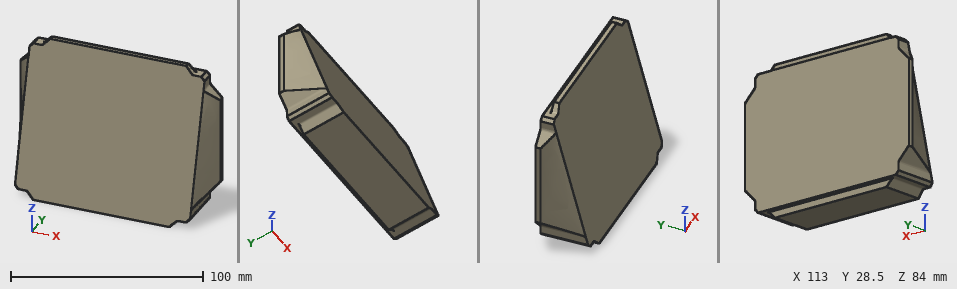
import cadquery as cq
import math

overall_length = 113.0
body_length = 99.0
overall_height = 84.0
body_height = 76.0
top_thickness = 6.0
slope_angle = 15.0
back_step = 3.0
corner_chamfer = 2.0
tab_length = 77.0
tab_root_radius = 1.5
wing_outer_height = 48.0
wing_root_radius = 2.0

slope = math.tan(math.radians(slope_angle))
bottom_thickness = top_thickness + overall_height * slope
half_height = overall_height / 2
half_body = body_length / 2
wing_reach = (overall_length - body_length) / 2
wing_root_height = wing_outer_height + 2 * wing_reach
tab_rise = (overall_height - body_height) / 2
tab_root_length = tab_length + 2 * tab_rise


def front_y(z):
    """Y of the sloping front face at height z."""
    return -(top_thickness + (half_height - z) * slope)


def wedge_envelope():
    """Full-length wedge between the back plane and the sloping front face."""
    profile = [
        (0, -half_height),
        (front_y(-half_height), -half_height),
        (front_y(half_height), half_height),
        (0, half_height),
    ]
    return cq.Workplane("YZ").polyline(profile).close().extrude(half_body, both=True)


def body_block():
    """Chamfered rectangular block, as deep as the wedge's thick end."""
    return (
        cq.Workplane("XZ")
        .rect(body_length, body_height)
        .extrude(bottom_thickness)
        .edges("|Y")
        .chamfer(corner_chamfer)
    )


def tab(side):
    """Trapezoid tab on the top (side = 1) or bottom (side = -1), set forward of the back."""
    outline = [
        (-tab_root_length / 2, 0),
        (tab_root_length / 2, 0),
        (tab_root_length / 2, side * body_height / 2),
        (tab_length / 2, side * half_height),
        (-tab_length / 2, side * half_height),
        (-tab_root_length / 2, side * body_height / 2),
    ]
    return (
        cq.Workplane("XZ", origin=(0, -back_step, 0))
        .polyline(outline)
        .close()
        .extrude(bottom_thickness - back_step)
    )


def root_edges(part, half_x, half_z):
    """Edges along Y that pass through the four points (+-half_x, +-half_z)."""
    tolerance = 0.01

    def at_root(edge):
        center = edge.Center()
        return abs(abs(center.x) - half_x) < tolerance and abs(abs(center.z) - half_z) < tolerance

    return part.edges("|Y").filter(at_root)


def wing(side):
    """Side wing: its front blends from the sloping face to a low upright outer wall."""
    root_z = wing_root_height / 2
    outer_z = wing_outer_height / 2
    root = [(0, -root_z), (front_y(-root_z), -root_z), (front_y(root_z), root_z), (0, root_z)]
    outer = [(0, -outer_z), (-back_step, -outer_z), (-back_step, outer_z), (0, outer_z)]
    return (
        cq.Workplane("YZ", origin=(side * half_body, 0, 0))
        .polyline(root)
        .close()
        .workplane(offset=side * wing_reach)
        .polyline(outer)
        .close()
        .loft(ruled=True)
    )


block = body_block().union(tab(1)).union(tab(-1))
block = root_edges(block, tab_root_length / 2, body_height / 2).fillet(tab_root_radius)
result = block.intersect(wedge_envelope())
for wing_side in (-1, 1):
    result = result.union(wing(wing_side))
result = root_edges(result, half_body, wing_root_height / 2).fillet(wing_root_radius)